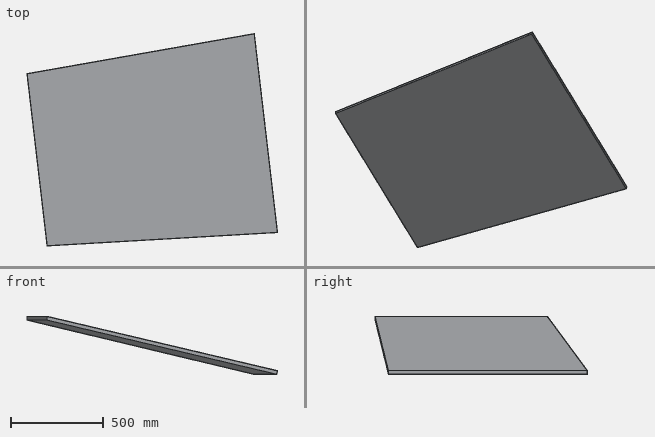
import cadquery as cq
import math

run = 1244.2
high_edge_length = 936.2
side_flare = 72.4
thickness = 20.0
overall_height = 312.93
heading = 6.66
pitch_iterations = 20

high_half_width = high_edge_length / 2
low_half_width = high_half_width + side_flare


def solve_pitch():
    """Slope angle at which the panel, with its low edge cut square, has the overall height."""
    angle = 0.0
    for _ in range(pitch_iterations):
        low_edge_height = thickness * math.cos(angle)
        angle = math.atan((overall_height - low_edge_height) / run)
    return angle


pitch = solve_pitch()
drop = run * math.tan(pitch)


def sloping_slab():
    """Side section: plumb cut at the high edge, square cut at the low edge."""
    section = [
        (0, 0),
        (run, -drop),
        (run - thickness * math.sin(pitch), -drop - thickness * math.cos(pitch)),
        (0, -thickness / math.cos(pitch)),
    ]
    return cq.Workplane("XZ").polyline(section).close().extrude(low_half_width, both=True)


def plan_prism():
    """Upright trapezoid that trims the two flared sides of the slab."""
    outline = [
        (0, -high_half_width),
        (run, -low_half_width),
        (run, low_half_width),
        (0, high_half_width),
    ]
    return cq.Workplane("XY").polyline(outline).close().extrude(-overall_height)


def centred(body):
    """Move the body so that its bounding box is centred on the origin."""
    middle = body.val().BoundingBox().center
    return body.translate((-middle.x, -middle.y, -middle.z))


panel = sloping_slab().intersect(plan_prism())
panel = panel.rotate((0, 0, 0), (0, 0, 1), heading)
result = centred(panel)